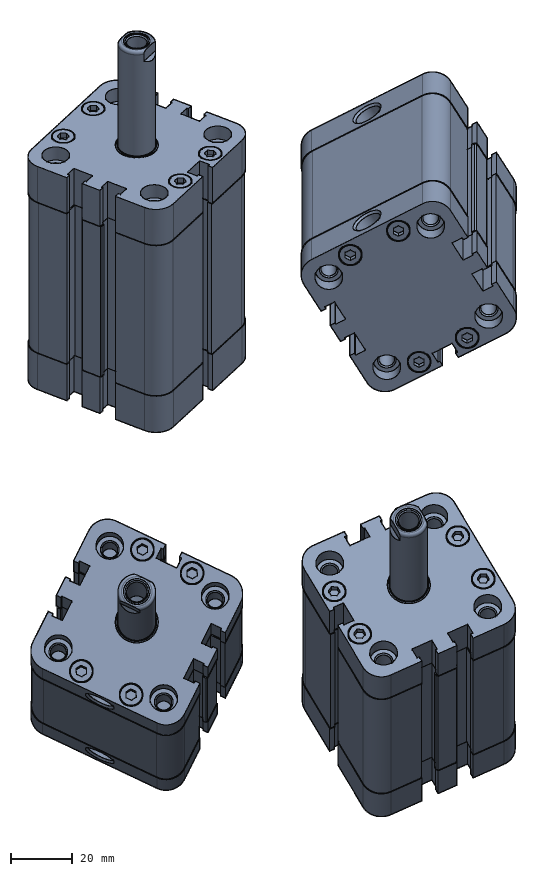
import cadquery as cq
import math

total_height = 132.0
body_height = 90.0
cap_height = 14.7
cap_width = 54.8
barrel_width = 54.4
corner_radius = 6.7

slot_floor = 21.9
slot_lip_inner = 25.6
slot_rib_neck = 2.9
slot_outer_lip = 9.4

barrel_outer_wall = 9.8
cap_outer_wall = 10.2
barrel_rib_head = 3.8
barrel_rib_chamfer = 0.4
cap_rib_head = 3.4
barrel_side_opening = 5.3
cap_side_opening = 5.8
barrel_side_channel = 6.9
cap_side_channel = 7.4

rod_diameter = 12.3
rod_tip_fillet = 1.2
flats_width = 10.0
flats_length = 4.1
rod_hole_diameter = 6.6
rod_hole_mouth = 7.5
rod_recess_diameter = 8.6
rod_recess_depth = 0.3
rod_hole_depth = 19.8
rod_hole_tip_depth = 2.0

groove_outer_diameter = 14.0
groove_bottom_diameter = 13.7
groove_inner_diameter = 13.0
groove_depth = 0.4

mount_offset = 19.0
mount_counterbore = 9.0
mount_counterbore_depth = 5.3
mount_hole_diameter = 5.1
mount_hole_mouth = 6.1

screw_x = 22.6
screw_y = 9.0
screw_ring_outer = 7.7
screw_ring_inner = 7.1
screw_ring_depth = 0.7
hex_across_flats = 3.3
hex_depth = 2.0

port_z = 7.8
port_diameter = 9.0
port_mouth_diameter = 10.4
port_core_diameter = 40.0

barrel_height = body_height - 2 * cap_height
half_width = cap_width / 2
overshoot = 1.3
hex_diameter = hex_across_flats / math.cos(math.pi / 6)


def cone(radius_bottom, radius_top, height):
    """Vertical cone or frustum standing on Z = 0."""
    return cq.Workplane(cq.Solid.makeCone(radius_bottom, radius_top, height))


def profile_block(height, width, rib_head, outer_wall, side_opening, side_channel):
    """Rounded block standing on Z = 0, with two T-slots on each Y side and one on +X."""
    slot_mouth = width / 2 + overshoot
    block = cq.Workplane().rect(width, width).extrude(height).edges("|Z").fillet(corner_radius)
    slot = (
        cq.Workplane()
        .moveTo(rib_head, slot_mouth)
        .lineTo(rib_head, slot_lip_inner)
        .lineTo(slot_rib_neck, slot_lip_inner)
        .lineTo(slot_rib_neck, slot_floor)
        .lineTo(outer_wall, slot_floor)
        .lineTo(outer_wall, slot_lip_inner)
        .lineTo(slot_outer_lip, slot_lip_inner)
        .lineTo(slot_outer_lip, slot_mouth)
        .close()
        .extrude(height)
    )
    slot_pair = slot.union(slot.mirror("YZ"))
    side_start = cq.Workplane(origin=(slot_floor, 0, 0))
    side_channel_cut = side_start.box(
        slot_lip_inner - slot_floor, side_channel, height, centered=(False, True, False)
    )
    side_opening_cut = side_start.box(
        slot_mouth - slot_floor, side_opening, height, centered=(False, True, False)
    )
    return block.cut(slot_pair).cut(slot_pair.mirror("XZ")).cut(side_channel_cut).cut(side_opening_cut)


def mounting_hole():
    """Counterbored hole through a cap, chamfered below the counterbore, opening at Z = 0."""
    chamfer = (mount_hole_mouth - mount_hole_diameter) / 2
    counterbore = cq.Workplane().circle(mount_counterbore / 2).extrude(-mount_counterbore_depth)
    hole = cq.Workplane().circle(mount_hole_diameter / 2).extrude(-cap_height)
    mouth = cone(mount_hole_diameter / 2, mount_hole_mouth / 2, chamfer)
    return counterbore.union(hole).union(mouth.translate((0, 0, -mount_counterbore_depth - chamfer)))


def screw_recess():
    """Ring gap around a screw head and its hexagon socket, opening at Z = 0."""
    ring = cq.Workplane().circle(screw_ring_outer / 2).circle(screw_ring_inner / 2).extrude(-screw_ring_depth)
    socket = cq.Workplane().polygon(6, hex_diameter).extrude(-hex_depth)
    return ring.union(socket.rotate((0, 0, 0), (0, 0, 1), 90))


def air_port():
    """Port running in from -X to the round core of the cap, centred on Z = 0."""
    chamfer = (port_mouth_diameter - port_diameter) / 2
    bore = cq.Workplane("YZ").circle(port_diameter / 2).extrude(-half_width)
    core = cq.Workplane().circle(port_core_diameter / 2).extrude(cap_height, both=True)
    mouth = cone(port_mouth_diameter / 2, port_diameter / 2, chamfer).rotate((0, 0, 0), (0, 1, 0), 90)
    return bore.cut(core).union(mouth.translate((-half_width, 0, 0)))


def make_cap():
    """End cap with its outer face at Z = cap_height and its barrel face at Z = 0."""
    cap = profile_block(
        cap_height, cap_width, cap_rib_head, cap_outer_wall, cap_side_opening, cap_side_channel
    )
    for side_x in (-1, 1):
        for side_y in (-1, 1):
            mount_place = (side_x * mount_offset, side_y * mount_offset, cap_height)
            screw_place = (side_x * screw_x, side_y * screw_y, cap_height)
            cap = cap.cut(mounting_hole().translate(mount_place))
            cap = cap.cut(screw_recess().translate(screw_place))
    return cap.cut(air_port().translate((0, 0, cap_height - port_z)))


def make_top_cap():
    """End cap with a hole for the rod and a V-shaped ring groove around it."""
    groove_recess = cone(groove_bottom_diameter / 2, groove_outer_diameter / 2, groove_depth)
    groove_core = cone(groove_bottom_diameter / 2, groove_inner_diameter / 2, groove_depth)
    groove = groove_recess.cut(groove_core).translate((0, 0, cap_height - groove_depth))
    rod_hole = cq.Workplane().circle(rod_diameter / 2).extrude(cap_height)
    return make_cap().cut(groove).cut(rod_hole).translate((0, 0, body_height - cap_height))


def make_bottom_cap():
    """End cap turned over, closing the lower end of the barrel."""
    return make_cap().mirror("XY").translate((0, 0, cap_height))


def make_barrel():
    """Profile body between the caps; the outer corners of its middle ribs are chamfered."""
    barrel = profile_block(
        barrel_height,
        barrel_width,
        barrel_rib_head,
        barrel_outer_wall,
        barrel_side_opening,
        barrel_side_channel,
    )
    for side_x in (-1, 1):
        for side_y in (-1, 1):
            corner = (side_x * barrel_rib_head, side_y * barrel_width / 2)
            wedge = (
                cq.Workplane()
                .moveTo(*corner)
                .lineTo(corner[0] - side_x * barrel_rib_chamfer, corner[1])
                .lineTo(corner[0], corner[1] - side_y * barrel_rib_chamfer)
                .close()
                .extrude(barrel_height)
            )
            barrel = barrel.cut(wedge)
    return barrel.translate((0, 0, cap_height))


def make_rod():
    """Piston rod seated on the barrel, with wrench flats and a blind end hole."""
    rod_bottom = body_height - cap_height
    rod_start = cq.Workplane(origin=(0, 0, rod_bottom))
    rod = rod_start.circle(rod_diameter / 2).extrude(total_height - rod_bottom)
    rod = rod.faces(">Z").edges().fillet(rod_tip_fillet)

    run_out = (rod_diameter - flats_width) / 2
    flat_bottom = total_height - flats_length
    flat = (
        cq.Workplane("XZ")
        .moveTo(flats_width / 2, total_height)
        .lineTo(flats_width / 2, flat_bottom)
        .lineTo(flats_width / 2 + run_out, flat_bottom - run_out)
        .lineTo(flats_width / 2 + run_out, total_height)
        .close()
        .extrude(rod_diameter / 2, both=True)
    )
    rod = rod.cut(flat).cut(flat.mirror("YZ"))

    hole_radius = rod_hole_diameter / 2
    mouth_radius = rod_hole_mouth / 2
    recess_radius = rod_recess_diameter / 2
    recess_floor = total_height - rod_recess_depth
    hole = (
        cq.Workplane("XZ")
        .moveTo(0, total_height)
        .lineTo(recess_radius, total_height)
        .lineTo(recess_radius, recess_floor)
        .lineTo(mouth_radius, recess_floor)
        .lineTo(hole_radius, recess_floor - (mouth_radius - hole_radius))
        .lineTo(hole_radius, total_height - rod_hole_depth)
        .lineTo(0, total_height - rod_hole_depth - rod_hole_tip_depth)
        .close()
        .revolve(360, (0, 0, 0), (0, 1, 0))
    )
    return rod.cut(hole)


barrel = make_barrel()
top_cap = make_top_cap()
bottom_cap = make_bottom_cap()
rod = make_rod()
result = cq.Compound.makeCompound([barrel.val(), top_cap.val(), bottom_cap.val(), rod.val()])